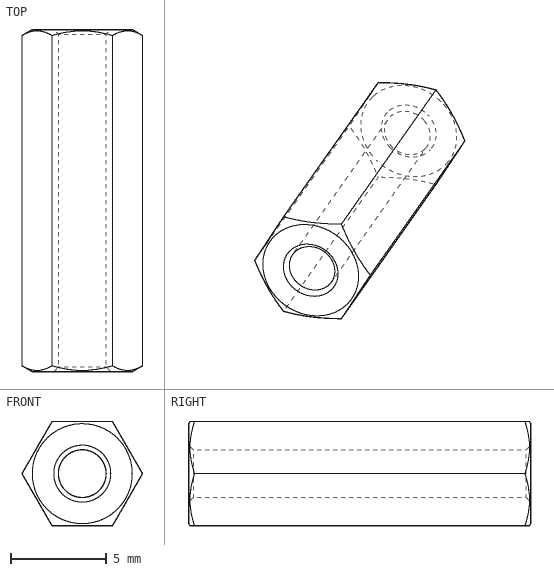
import cadquery as cq
import math

LENGTH = 18.0
ACROSS_FLATS = 5.5
ACROSS_CORNERS = ACROSS_FLATS / math.cos(math.radians(30))

HOLE_DIAMETER = 2.5
LEAD_IN_DIAMETER = 3.0
LEAD_IN_ANGLE = 45.0
LEAD_IN_DEPTH = (LEAD_IN_DIAMETER - HOLE_DIAMETER) / 2 / math.tan(math.radians(LEAD_IN_ANGLE))

END_FACE_DIAMETER = 5.26
CORNER_CHAMFER_ANGLE = 30.0
CORNER_CHAMFER_RADIAL = (ACROSS_CORNERS - END_FACE_DIAMETER) / 2
CORNER_CHAMFER_DEPTH = CORNER_CHAMFER_RADIAL * math.tan(math.radians(CORNER_CHAMFER_ANGLE))


def cylinder_along_y(diameter):
    """Cylinder of the full part length, centred on the origin."""
    return cq.Workplane("XZ").circle(diameter / 2).extrude(LENGTH / 2, both=True)


def hexagonal_bar():
    """Hexagon with corners on +X and -X and flats on top and bottom."""
    return cq.Workplane("XZ").polygon(6, ACROSS_CORNERS).extrude(LENGTH / 2, both=True)


def chamfered_envelope():
    """Round bar through the hexagon corners, chamfered down to the end faces."""
    round_bar = cylinder_along_y(ACROSS_CORNERS)
    rim_edges = round_bar.faces("<Y or >Y").edges()
    return rim_edges.chamfer(CORNER_CHAMFER_DEPTH, CORNER_CHAMFER_RADIAL)


def through_hole():
    """Cutter for the hole and the lead-in cones at both ends."""
    half_length = LENGTH / 2
    hole_radius = HOLE_DIAMETER / 2
    lead_in_radius = LEAD_IN_DIAMETER / 2
    half_section = [
        (0, -half_length),
        (lead_in_radius, -half_length),
        (hole_radius, -half_length + LEAD_IN_DEPTH),
        (hole_radius, half_length - LEAD_IN_DEPTH),
        (lead_in_radius, half_length),
        (0, half_length),
    ]
    return cq.Workplane("XY").polyline(half_section).close().revolve(360, (0, 0, 0), (0, 1, 0))


result = hexagonal_bar().intersect(chamfered_envelope()).cut(through_hole())